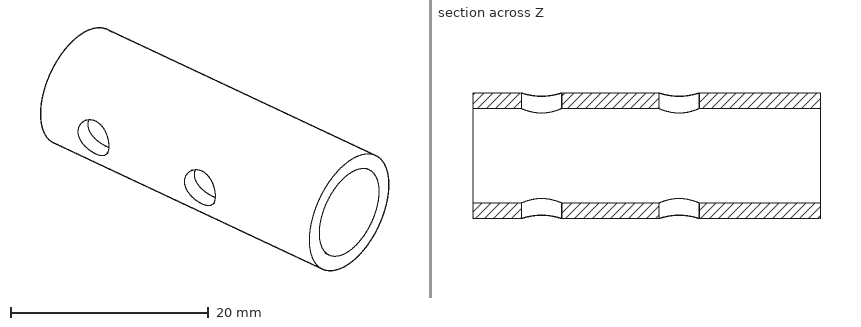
import cadquery as cq

length = 35.12
outer_diameter = 12.7
bore_diameter = 9.53

hole_diameter = 4.04
first_hole_from_end = 6.93
hole_spacing = 13.9
hole_count = 2


def make_tube():
    """Plain tube with its left end at X = 0."""
    return (
        cq.Workplane("YZ")
        .circle(outer_diameter / 2)
        .circle(bore_diameter / 2)
        .extrude(length)
    )


def drill_cross_holes(tube):
    """Drill the row of holes straight through the tube, across its axis."""
    centers = [(first_hole_from_end + i * hole_spacing, 0) for i in range(hole_count)]
    drills = (
        cq.Workplane("XZ")
        .pushPoints(centers)
        .circle(hole_diameter / 2)
        .extrude(outer_diameter, both=True)
    )
    return tube.cut(drills)


result = drill_cross_holes(make_tube())